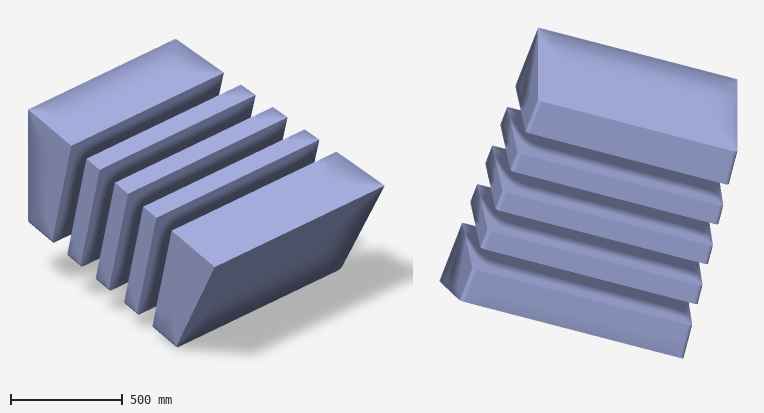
import cadquery as cq
import math

turn = 6.6
slope = 13.4
overall_length = 1354.0
end_face_height = 582.0
start_width = 934.0
flare = 72.0
plate_thickness = 91.0
gap = 104.0
bottom_fillet = 20.0

slope_angle = math.radians(slope)
turn_angle = math.radians(turn)
plan_length = (
    overall_length - (start_width + flare) * math.sin(turn_angle)
) / math.cos(turn_angle)
top_length = plan_length / math.cos(slope_angle)
depth = end_face_height * math.cos(slope_angle)
end_inset = end_face_height * math.sin(slope_angle)
half_length = top_length / 2
half_plate = plate_thickness / 2
plate_pitch = plate_thickness + gap
block_inner = plate_pitch + half_plate + gap
half_reach = start_width

plan_frame = cq.Plane(
    origin=(0, 0, 0),
    xDir=(math.cos(turn_angle), math.sin(turn_angle), 0),
    normal=(0, 0, 1),
)
fall = plan_length / 2 * math.tan(slope_angle)
slope_frame = cq.Plane(
    origin=plan_frame.toWorldCoords((plan_length / 2, 0, -fall)).toTuple(),
    xDir=(
        math.cos(turn_angle) * math.cos(slope_angle),
        math.sin(turn_angle) * math.cos(slope_angle),
        -math.sin(slope_angle),
    ),
    normal=(math.sin(turn_angle), -math.cos(turn_angle), 0),
)


def make_side_envelope():
    """Vertical, flaring side faces shared by all the bodies."""
    start_half = start_width / 2
    finish_half = start_half + flare
    envelope_height = 2 * fall + 2 * depth
    return (
        cq.Workplane(plan_frame)
        .polyline([
            (0, -start_half),
            (plan_length, -finish_half),
            (plan_length, finish_half),
            (0, start_half),
        ])
        .close()
        .extrude(-envelope_height)
    )


def make_segment(top_start, top_finish, bottom_start, bottom_finish):
    """One body of the row, with its two lower side edges rounded."""
    stock = (
        cq.Workplane(slope_frame)
        .polyline([
            (top_start, 0),
            (top_finish, 0),
            (bottom_finish, -depth),
            (bottom_start, -depth),
        ])
        .close()
        .extrude(half_reach, both=True)
    )
    body = stock.intersect(make_side_envelope())
    bottom_face = body.faces(cq.selectors.DirectionMinMaxSelector(slope_frame.yDir, False))
    across = slope_frame.zDir
    side_edges = bottom_face.edges(
        cq.selectors.DirectionMinMaxSelector(across, True)
        + cq.selectors.DirectionMinMaxSelector(across, False)
    )
    return side_edges.fillet(bottom_fillet).solids()


def make_plate(start, thickness):
    finish = start + thickness
    return make_segment(start, finish, start, finish)


start_block = make_segment(-half_length, -block_inner, end_inset - half_length, -block_inner)
finish_block = make_segment(block_inner, half_length, block_inner, half_length - end_inset)

side_plates = [
    make_plate(center - half_plate, plate_thickness)
    for center in (-plate_pitch, plate_pitch)
]

middle_plates = [make_plate(start, half_plate) for start in (-half_plate, 0)]

result = cq.Compound.makeCompound([
    start_block.val(),
    finish_block.val(),
    *[plate.val() for plate in side_plates],
    *[plate.val() for plate in middle_plates],
])